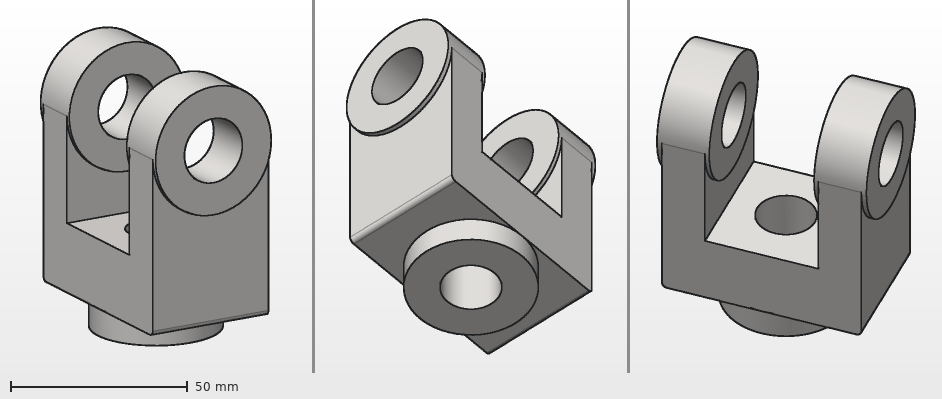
import cadquery as cq

height = 79.5
width = 63.5
depth = 38.1

body_width = 60.5
body_bottom = 8.1
slot_width = 34.35
slot_floor = 28.7
bottom_edge_radius = 1.6

ear_thickness = 15.9
ear_radius = depth / 2
ear_axis_z = height - ear_radius
pin_hole_diameter = 19.0
shank_hole_diameter = 17.5


def x_cylinder(radius, start_x, length):
    """Cylinder along X, centred on the pin axis."""
    return (
        cq.Workplane("YZ", origin=(start_x, 0, ear_axis_z))
        .circle(radius)
        .extrude(length)
    )


def fork_body():
    """U-shaped block whose arms end level with the pin axis."""
    block = (
        cq.Workplane("XY", origin=(0, 0, body_bottom))
        .rect(body_width, depth)
        .extrude(ear_axis_z - body_bottom)
        .edges("|Y and <Z")
        .fillet(bottom_edge_radius)
    )
    slot = (
        cq.Workplane("XY", origin=(0, 0, slot_floor))
        .rect(slot_width, depth)
        .extrude(ear_axis_z - slot_floor)
    )
    return block.cut(slot)


shank = cq.Workplane("XY").circle(depth / 2).extrude(slot_floor)
result = fork_body().union(shank)

for ear_start in (-width / 2, width / 2 - ear_thickness):
    result = result.union(x_cylinder(ear_radius, ear_start, ear_thickness))

result = result.cut(x_cylinder(pin_hole_diameter / 2, -width / 2, width))

shank_hole = cq.Workplane("XY").circle(shank_hole_diameter / 2).extrude(slot_floor)
result = result.cut(shank_hole)